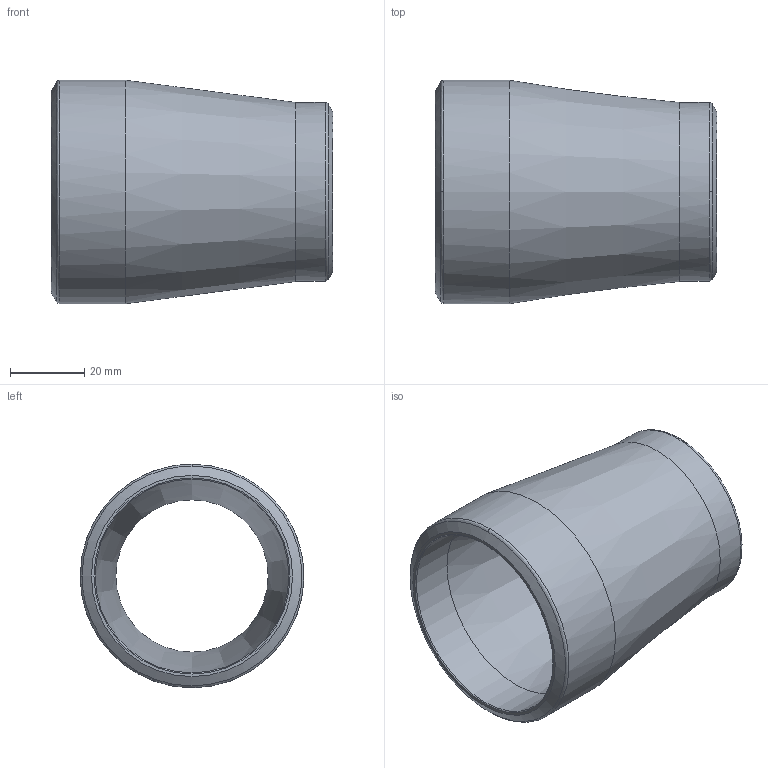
import cadquery as cq
import math

length = 76.0
large_od = 60.3
large_bore = 52.3
small_od = 48.3
small_bore = 41.1

taper_start = 20.0
taper_end = 66.0
bore_taper_shift = 8.0

bevel_angle = 30.0
root_face = 1.0
bevel_rounding = 1.0
bore_rounding = 0.3

match_tolerance = 0.001


def cross_section(x):
    """Workplane square to the part axis, with its local x direction along +Z."""
    return cq.Workplane(cq.Plane(origin=(x, 0, 0), xDir=(0, 0, 1), normal=(1, 0, 0)))


def stepped_solid(large_diameter, small_diameter, cone_start, cone_end):
    """Full-length solid of two cylinders joined by a cone."""
    large_cylinder = cross_section(0).circle(large_diameter / 2).extrude(cone_start)
    cone = (
        cross_section(cone_start)
        .circle(large_diameter / 2)
        .workplane(offset=cone_end - cone_start)
        .circle(small_diameter / 2)
        .loft()
    )
    small_cylinder = cross_section(cone_end).circle(small_diameter / 2).extrude(length - cone_end)
    return large_cylinder.union(cone).union(small_cylinder)


def round_rim(body, x, diameter, radius):
    """Fillet the circular edge of the given diameter centred on the axis at x."""
    rim = body.edges("%CIRCLE").filter(
        lambda edge: abs(edge.Center().x - x) < match_tolerance
        and abs(edge.radius() - diameter / 2) < match_tolerance
    )
    return rim.fillet(radius)


def prepare_end(body, face_x, inward, outside, bore):
    """Bevel an end for welding; inward is +1 or -1, pointing from the face into the part."""
    bevel_height = (outside - bore) / 2 - root_face
    bevel_x = face_x + inward * bevel_height * math.tan(math.radians(bevel_angle))
    bevel_ring = (
        cq.Workplane("XY")
        .moveTo(face_x, bore / 2 + root_face)
        .lineTo(bevel_x, outside / 2)
        .lineTo(face_x, outside / 2)
        .close()
        .revolve(360, (0, 0, 0), (1, 0, 0))
    )
    bevelled = body.cut(bevel_ring)
    rounded_outside = round_rim(bevelled, bevel_x, outside, bevel_rounding)
    return round_rim(rounded_outside, face_x, bore, bore_rounding)


shell = stepped_solid(large_od, small_od, taper_start, taper_end)
passage = stepped_solid(
    large_bore, small_bore, taper_start - bore_taper_shift, taper_end - bore_taper_shift
)

reducer = shell.cut(passage)
reducer = prepare_end(reducer, 0, 1, large_od, large_bore)
result = prepare_end(reducer, length, -1, small_od, small_bore)